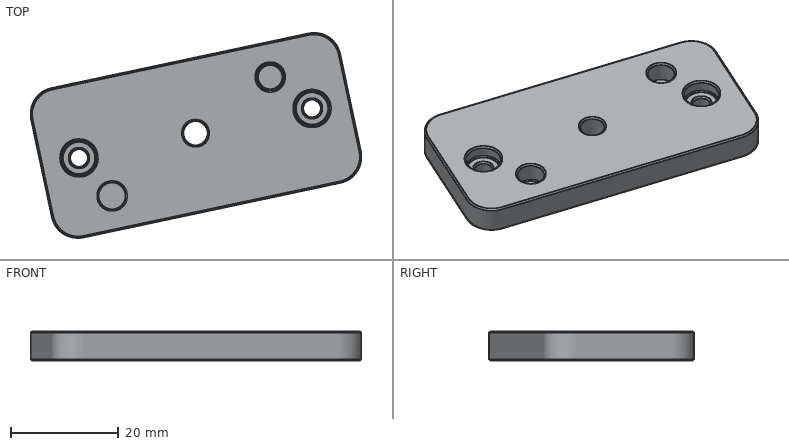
import cadquery as cq

plate_length = 58.95
plate_width = 28.5
thickness = 5.5
corner_radius = 5.0
edge_chamfer = 0.3
turn_angle = 12

hole_line_y = 0.45
center_hole_diameter = 4.5
screw_x = 22.2
screw_diameter = 3.3
counterbore_diameter = 6.5
counterbore_depth = 2.5
pocket_diameter = 5.0
pocket_depth = 4.0
pocket_y = 7.8
pocket_left_x = -17.65
pocket_right_x = 15.8
hole_chamfer = 0.3
floor_chamfer = 0.25


def round_cut_tool(x, y, diameter, top, depth, floor_bevel=0):
    """Revolved cutter: a cylinder below height top, widened by a chamfer at its rim.

    A nonzero floor_bevel slopes the foot of the wall into the floor.
    """
    radius = diameter / 2
    bevel_end = [(radius, top - depth + floor_bevel)] if floor_bevel > 0 else []
    profile = [
        (0, top - depth),
        (radius - floor_bevel, top - depth),
        *bevel_end,
        (radius, top - hole_chamfer),
        (radius + hole_chamfer, top),
        (0, top),
    ]
    cutter = cq.Workplane("XZ").polyline(profile).close().revolve(360, (0, 0), (0, 1))
    return cutter.translate((x, y, 0))


plate = (
    cq.Workplane("XY")
    .rect(plate_length, plate_width)
    .extrude(thickness)
    .edges("|Z")
    .fillet(corner_radius)
    .faces("<Z or >Z")
    .chamfer(edge_chamfer)
)

plate = plate.cut(round_cut_tool(0, hole_line_y, center_hole_diameter, thickness, thickness))

counterbore_floor = thickness - counterbore_depth
for x in (-screw_x, screw_x):
    counterbore = round_cut_tool(
        x, hole_line_y, counterbore_diameter, thickness, counterbore_depth, floor_chamfer
    )
    plate = plate.cut(counterbore)
    plate = plate.cut(round_cut_tool(x, hole_line_y, screw_diameter, counterbore_floor, counterbore_floor))

pockets = (
    (pocket_left_x, -pocket_y, 0),
    (pocket_right_x, pocket_y, floor_chamfer),
)
for x, y, floor_bevel in pockets:
    plate = plate.cut(round_cut_tool(x, y, pocket_diameter, thickness, pocket_depth, floor_bevel))

result = plate.rotate((0, 0, 0), (0, 0, 1), turn_angle)